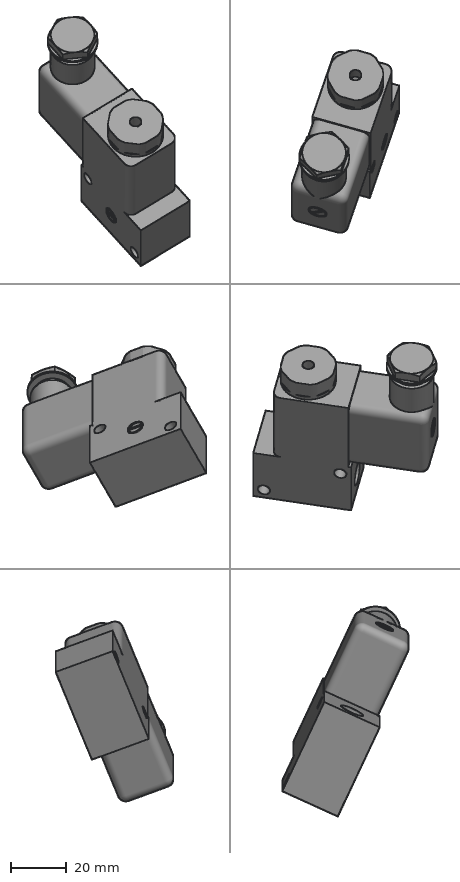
import cadquery as cq
import math


base_length = 36.0
body_width = 22.0
base_height = 22.0
tower_start_x = 1.0
tower_end_x = 29.0
tower_top_z = 52.1
corner_radius = 3.0

mount_hole_diameter = 4.5
mount_hole_inset = 4.0
port_diameter = 8.7
port_depth = 10.65
port_z = 8.0

knob_x = base_length / 2
knob_diameter = 20.0
knob_collar_height = 1.5
knob_height = 7.7
knob_flat_count = 8
knob_flat_to_flat = 19.4
knob_hole_diameter = 4.2
knob_hole_depth = 5.7
drill_point_angle = 118.0

connector_end_x = -28.0
connector_width = 21.15
connector_bottom_z = 22.65
connector_top_z = 51.5

gland_diameter = 16.0
gland_x = connector_end_x + gland_diameter / 2
gland_top_z = 63.5
neck_diameter = 13.0
flange_diameter = 18.0
flange_bottom_z = 66.45
flange_top_z = 67.3
hex_corner_diameter = flange_diameter
hex_flat_to_flat = hex_corner_diameter * math.cos(math.radians(30))
hex_top_z = 71.0
hex_chamfer_angle = 30.0

body_screw_diameter = 6.0
body_screw_head_diameter = 5.2
body_screw_slot_width = 0.85
body_screw_z = 11.1
body_screw_depth = 0.6
connector_screw_diameter = 6.8
connector_screw_head_diameter = 6.0
connector_screw_slot_width = 0.7
connector_screw_z = 37.3
connector_screw_depth = 0.2
connector_screw_turn = 45.0


def block(x_start, x_end, width, z_start, z_end):
    """Box centred on Y = 0."""
    return cq.Workplane("XY").box(
        x_end - x_start, width, z_end - z_start, centered=(False, True, False)
    ).translate((x_start, 0, z_start))


def cylinder(x, diameter, z_start, z_end):
    """Upright cylinder on the Y = 0 plane."""
    return cq.Workplane("XY", origin=(x, 0, z_start)).circle(diameter / 2).extrude(z_end - z_start)


def screw_recess(face, diameter, head_diameter, slot_width, slot_turn, depth):
    """Ring groove and slot to cut, sunk against the normal of the face plane."""
    ring = cq.Workplane(face).circle(diameter / 2).circle(head_diameter / 2).extrude(-depth)
    slot_length = (diameter + head_diameter) / 2
    slot = cq.Workplane(face).transformed(rotate=(0, 0, slot_turn)).rect(slot_length, slot_width).extrude(-depth)
    return ring.union(slot)


def make_knob():
    """Round knob with flats above a plain collar, and a blind drilled hole from the top."""
    knob_top_z = tower_top_z + knob_height
    collar_top_z = tower_top_z + knob_collar_height
    knob = cylinder(knob_x, knob_diameter, tower_top_z, knob_top_z)
    flat_depth = (knob_diameter - knob_flat_to_flat) / 2
    flat_cutter = block(
        knob_flat_to_flat / 2, knob_flat_to_flat / 2 + 2 * flat_depth, knob_diameter / 2,
        collar_top_z, knob_top_z,
    )
    for i in range(knob_flat_count):
        turned_cutter = flat_cutter.rotate((0, 0, 0), (0, 0, 1), i * 360 / knob_flat_count)
        knob = knob.cut(turned_cutter.translate((knob_x, 0, 0)))

    hole_radius = knob_hole_diameter / 2
    drill_point_length = hole_radius / math.tan(math.radians(drill_point_angle / 2))
    drilled_hole = (
        cq.Workplane("XZ")
        .polyline([
            (0, 0),
            (hole_radius, 0),
            (hole_radius, -knob_hole_depth),
            (0, -knob_hole_depth - drill_point_length),
        ])
        .close()
        .revolve(360, (0, 0), (0, 1))
        .translate((knob_x, 0, knob_top_z))
    )
    return knob, drilled_hole


def make_valve_body():
    base = block(0, base_length, body_width, 0, base_height)
    tower = block(tower_start_x, tower_end_x, body_width, base_height, tower_top_z)
    tower = tower.edges("|Z and >X").fillet(corner_radius)
    knob, knob_hole = make_knob()
    body = base.union(tower).union(knob).cut(knob_hole)

    mount_holes = (
        cq.Workplane("XZ")
        .pushPoints([
            (mount_hole_inset, base_height - mount_hole_inset),
            (base_length - mount_hole_inset, mount_hole_inset),
        ])
        .circle(mount_hole_diameter / 2)
        .extrude(body_width / 2, both=True)
    )
    port = cq.Workplane("YZ", origin=(0, 0, port_z)).circle(port_diameter / 2).extrude(port_depth)

    screw_face = cq.Plane(
        origin=(base_length / 2, -body_width / 2, body_screw_z), xDir=(1, 0, 0), normal=(0, -1, 0)
    )
    screw = screw_recess(
        screw_face, body_screw_diameter, body_screw_head_diameter, body_screw_slot_width, 0, body_screw_depth
    )
    return body.cut(mount_holes).cut(port).cut(screw)


def make_gland():
    """Gland barrel, neck, flange and chamfered hexagon head."""
    barrel = cylinder(gland_x, gland_diameter, connector_top_z - corner_radius, gland_top_z)
    neck = cylinder(gland_x, neck_diameter, gland_top_z, flange_bottom_z)
    flange = cylinder(gland_x, flange_diameter, flange_bottom_z, flange_top_z)
    hexagon = (
        cq.Workplane("XY", origin=(gland_x, 0, flange_top_z))
        .polygon(6, hex_corner_diameter)
        .extrude(hex_top_z - flange_top_z)
    )
    chamfer_width = (hex_corner_diameter - hex_flat_to_flat) / 2
    chamfer_height = chamfer_width * math.tan(math.radians(hex_chamfer_angle))
    chamfer_envelope = (
        cylinder(gland_x, hex_corner_diameter, flange_top_z, hex_top_z)
        .faces(">Z").edges()
        .chamfer(chamfer_height, chamfer_width)
    )
    return barrel.union(neck).union(flange).union(hexagon.intersect(chamfer_envelope))


def make_connector():
    housing = block(connector_end_x, tower_start_x, connector_width, connector_bottom_z, connector_top_z)
    housing = housing.edges("|X or <X").fillet(corner_radius)

    screw_face = cq.Plane(
        origin=(connector_end_x, 0, connector_screw_z), xDir=(0, -1, 0), normal=(-1, 0, 0)
    )
    screw = screw_recess(
        screw_face, connector_screw_diameter, connector_screw_head_diameter,
        connector_screw_slot_width, connector_screw_turn, connector_screw_depth,
    )
    return housing.union(make_gland()).cut(screw)


valve_body = make_valve_body()
connector = make_connector()
result = cq.Compound.makeCompound([valve_body.solids().val(), connector.solids().val()])